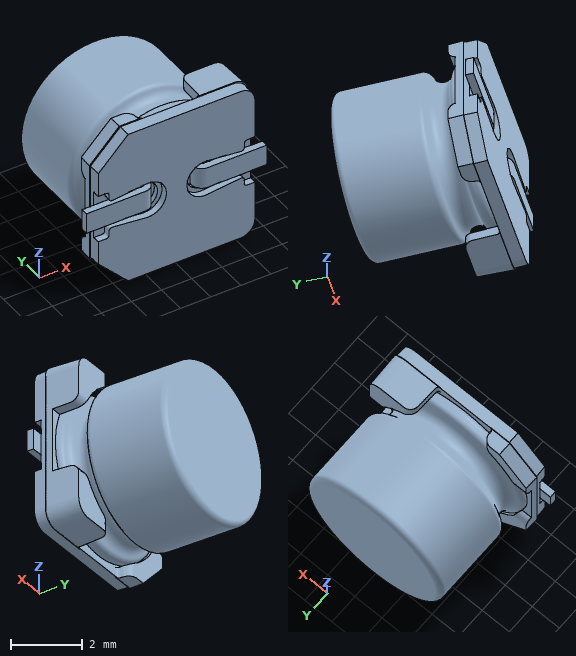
import cadquery as cq
import math


seat_y = 0.4
lower_half = 2.615
upper_half = 5.3 / 2
corner_cut = 0.995
corner_radius = 0.5
draft = 2.0
low_wall_y = 0.86
post_y = 1.505

gap_half = 1.015
gap_top_radius = 0.3
gap_foot_radius = 0.095
shallow_gap_y = 0.64
gap_cut_y = post_y + 0.06

can_top_y = 4.4
can_radius = 2.495
end_round = 0.2
neck_radius = 2.08
groove_y = 1.255
groove_radius = 0.39
flank_angle = math.radians(64.0)

lead_end_x = 3.0
lead_half_width = 0.35
lead_thickness = 0.235
lead_tip_x = 0.695
bend_radius = 0.335
hole_x = 0.94
hole_radius = 0.45
recess_round = 0.6
recess_neck_half = 0.46
notch_x = 2.245
notch_half = 0.805
notch_corner = 0.095
notch_throat = 0.095


def plate(half, height, direction):
    """Drafted plate growing from the parting plane; direction is +1 or -1 along Y."""
    shoulder = half - corner_cut
    plane = cq.Plane(origin=(0, seat_y, 0), xDir=(1, 0, 0), normal=(0, direction, 0))
    outline = [
        (-half, -shoulder),
        (-shoulder, -half),
        (half, -half),
        (half, half),
        (-shoulder, half),
        (-half, shoulder),
    ]
    sharp = cq.Sketch().polygon(outline + outline[:1])
    rounded = sharp.vertices(">X").fillet(corner_radius)
    return cq.Workplane(plane).placeSketch(rounded).extrude(height, taper=draft)


def box(x_min, x_max, y_min, y_max, z_min, z_max):
    """Box between the given limits."""
    size = (x_max - x_min, y_max - y_min, z_max - z_min)
    return cq.Workplane("XY").box(*size, centered=False).translate((x_min, y_min, z_min))


def half_gap(side, top_y):
    """One half of a gap running along Z; side is -1 or +1 along X, top_y is the wall top there."""
    shoulder_y = top_y - gap_top_radius
    shoulder_x = gap_half + math.tan(math.radians(draft)) * (shoulder_y - seat_y)
    crest_x = shoulder_x + gap_top_radius
    top_bend = gap_top_radius * (1 - math.sqrt(0.5))
    foot_bend = gap_foot_radius * (1 - math.sqrt(0.5))
    return (
        cq.Workplane("XY")
        .moveTo(0, seat_y)
        .lineTo(side * (gap_half - gap_foot_radius), seat_y)
        .threePointArc(
            (side * (gap_half - foot_bend), seat_y + foot_bend),
            (side * gap_half, seat_y + gap_foot_radius),
        )
        .lineTo(side * shoulder_x, shoulder_y)
        .threePointArc(
            (side * (shoulder_x + top_bend), top_y - top_bend),
            (side * crest_x, top_y),
        )
        .lineTo(side * crest_x, gap_cut_y)
        .lineTo(0, gap_cut_y)
        .close()
        .extrude(upper_half, both=True)
    )


def x_side_gap(side, top_y):
    """Shallow gap through the wall on one X side, above its own floor."""
    gap = half_gap(-1, top_y).union(half_gap(1, top_y))
    gap = gap.rotate((0, 0, 0), (0, 1, 0), 90)
    outer = side * upper_half
    return gap.intersect(
        box(min(0, outer), max(0, outer), shallow_gap_y, gap_cut_y, -upper_half, upper_half)
    )


def lead_recess():
    """Keyhole recess for the +X lead, open to the outer edge, with the lead hole through the plate."""
    corner_distance = math.hypot(notch_x - hole_x, recess_neck_half)
    corner_angle = math.atan2(recess_neck_half, notch_x - hole_x)
    tangent_angle = corner_angle + math.acos(recess_round / corner_distance)
    tangent_x = hole_x + recess_round * math.cos(tangent_angle)
    tangent_z = recess_round * math.sin(tangent_angle)
    upper_edge = [
        (tangent_x, tangent_z),
        (notch_x, recess_neck_half),
        (notch_x, notch_half),
        (lead_end_x, notch_half),
    ]
    lower_edge = [(x, -z) for x, z in reversed(upper_edge)]
    recess = cq.Workplane("XZ").polyline(upper_edge + lower_edge).close().extrude(-lead_thickness)
    recess = recess.edges(at_notch(recess_neck_half)).fillet(notch_throat)
    recess = recess.edges(at_notch(notch_half)).fillet(notch_corner)
    round_end = cq.Workplane("XZ").center(hole_x, 0).circle(recess_round).extrude(-lead_thickness)
    hole = cq.Workplane("XZ").center(hole_x, 0).circle(hole_radius).extrude(-seat_y)
    return recess.union(round_end).union(hole)


def at_notch(half):
    """Selects the two Y edges of the recess notch at Z = +half and -half."""
    spots = [(notch_x, lead_thickness / 2, z) for z in (-half, half)]
    near = [cq.selectors.NearestToPointSelector(spot) for spot in spots]
    return near[0] + near[1]


def make_base():
    """Base plate with its wall, two posts, gaps and lead recesses."""
    lower = plate(lower_half, seat_y, -1)
    wall = plate(upper_half, post_y - seat_y, 1)
    wall = wall.cut(box(-upper_half, 0, low_wall_y, post_y, -upper_half, upper_half))
    can_pocket = cq.Workplane("XZ", origin=(0, seat_y, 0)).circle(can_radius).extrude(seat_y - post_y)
    wall = wall.cut(can_pocket)
    wall = wall.cut(half_gap(-1, low_wall_y)).cut(half_gap(1, post_y))
    wall = wall.cut(x_side_gap(-1, low_wall_y)).cut(x_side_gap(1, post_y))
    base = lower.union(wall)
    for turn in (0, 180):
        base = base.cut(lead_recess().rotate((0, 0, 0), (0, 1, 0), turn))
    return base


def make_can():
    """Turned can with rounded ends and a rounded groove near its seat."""

    def on_groove(angle):
        return (
            neck_radius + groove_radius * (1 - math.cos(angle)),
            groove_y + groove_radius * math.sin(angle),
        )

    def on_lip(angle, lip_y, direction):
        return (
            can_radius - end_round * (1 - math.cos(angle)),
            lip_y + direction * end_round * math.sin(angle),
        )

    flank_depth = can_radius - neck_radius - (end_round + groove_radius) * (1 - math.cos(flank_angle))
    flank_height = flank_depth / math.tan(flank_angle)
    groove_reach = (groove_radius + end_round) * math.sin(flank_angle) + flank_height
    lower_lip_y = groove_y - groove_reach
    upper_lip_y = groove_y + groove_reach
    half_angle = flank_angle / 2
    round_middle = math.pi / 4
    bottom_round_y = seat_y + end_round
    top_round_y = can_top_y - end_round

    profile = (
        cq.Workplane("XY")
        .moveTo(0, seat_y)
        .lineTo(can_radius - end_round, seat_y)
        .threePointArc(on_lip(round_middle, bottom_round_y, -1), (can_radius, bottom_round_y))
        .lineTo(can_radius, lower_lip_y)
        .threePointArc(on_lip(half_angle, lower_lip_y, 1), on_lip(flank_angle, lower_lip_y, 1))
        .lineTo(*on_groove(-flank_angle))
        .threePointArc((neck_radius, groove_y), on_groove(flank_angle))
        .lineTo(*on_lip(flank_angle, upper_lip_y, -1))
        .threePointArc(on_lip(half_angle, upper_lip_y, -1), (can_radius, upper_lip_y))
        .lineTo(can_radius, top_round_y)
        .threePointArc(on_lip(round_middle, top_round_y, 1), (can_radius - end_round, can_top_y))
        .lineTo(0, can_top_y)
        .close()
    )
    return profile.revolve(360, (0, 0, 0), (0, 1, 0))


def make_lead(turn):
    """Flat lead bent up to the can, turned about the Y axis; the +X lead has turn 0."""
    bar = box(lead_tip_x, lead_end_x, 0, lead_thickness, -lead_half_width, lead_half_width)
    upright_end_x = lead_tip_x + lead_thickness
    upright = box(lead_tip_x, upright_end_x, 0, seat_y, -lead_half_width, lead_half_width)
    lead = bar.union(upright)
    lead = lead.edges("|Z and <Y and <X").fillet(bend_radius)
    inside_corner = cq.selectors.NearestToPointSelector((upright_end_x, lead_thickness, 0))
    lead = lead.edges("|Z").edges(inside_corner).fillet(bend_radius - lead_thickness)
    return lead.rotate((0, 0, 0), (0, 1, 0), turn)


base = make_base()
can = make_can()
leads = [make_lead(turn) for turn in (0, 180)]
result = cq.Compound.makeCompound([base.val(), can.val(), *[lead.val() for lead in leads]])